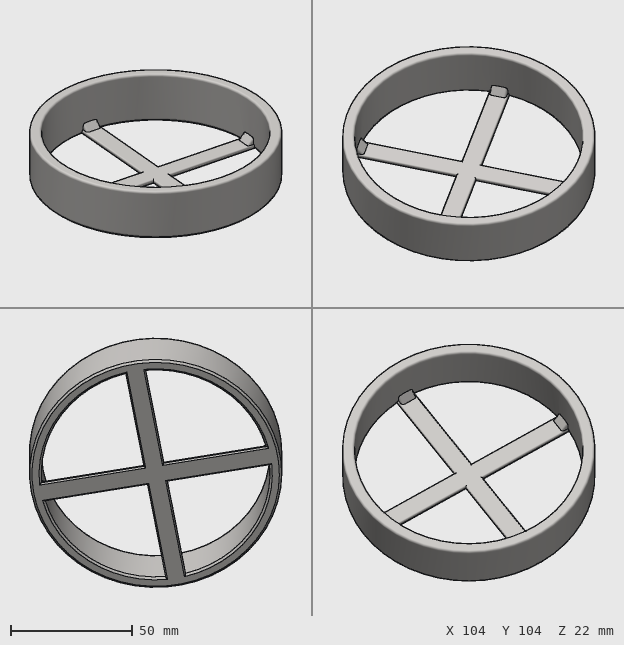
import cadquery as cq

outer_diameter = 104.0
inner_diameter = 94.0
ring_height = 22.0
top_rounding = 1.0

lead_top = 1.6
lead_width = 0.1
bevel_height = 0.9
bevel_width = 1.0

arm_width = 8.3
arm_thickness = 2.0
arm_rounding = 0.6
arm_bevel = 0.6

gusset_size = 3.0
gusset_width = arm_width - 2 * arm_rounding
gusset_rounding = 0.9
gusset_count = 4

outer_radius = outer_diameter / 2
inner_radius = inner_diameter / 2
wall_thickness = outer_radius - inner_radius
wall_middle_radius = inner_radius + wall_thickness / 2


def make_ring():
    """Revolve the wall section, then round both top rims."""
    section = [
        (inner_radius, ring_height),
        (inner_radius, lead_top),
        (inner_radius + lead_width, bevel_height),
        (inner_radius + bevel_width, 0),
        (outer_radius - bevel_width, 0),
        (outer_radius - lead_width, bevel_height),
        (outer_radius, lead_top),
        (outer_radius, ring_height),
    ]
    ring = cq.Workplane("XZ").polyline(section).close().revolve(360, (0, 0, 0), (0, 1, 0))
    return ring.faces(">Z").edges().fillet(top_rounding)


def make_cross():
    """Two crossing bars with rounded upper and bevelled lower edges, ending inside the ring wall."""
    arm_length = 2 * wall_middle_radius
    flat = (True, True, False)
    cross = cq.Workplane("XY").box(arm_length, arm_width, arm_thickness, centered=flat)
    cross = cross.union(cq.Workplane("XY").box(arm_width, arm_length, arm_thickness, centered=flat))
    cross = cross.faces(">Z").edges().fillet(arm_rounding)
    return cross.faces("<Z").edges().chamfer(arm_bevel)


def make_gusset():
    """A 45 degree wedge on the +X arm, extended into the ring wall and the arm."""
    toe = inner_radius - gusset_size
    top = arm_thickness + wall_middle_radius - toe
    profile = [
        (toe - arm_thickness, 0),
        (wall_middle_radius, 0),
        (wall_middle_radius, top),
    ]
    wedge = cq.Workplane("XZ").polyline(profile).close().extrude(gusset_width / 2, both=True)
    slope_edges = wedge.edges("|(1, 0, 1)")
    return slope_edges.fillet(gusset_rounding)


result = make_ring().union(make_cross())
for index in range(gusset_count):
    angle = index * 360 / gusset_count
    result = result.union(make_gusset().rotate((0, 0, 0), (0, 0, 1), angle))